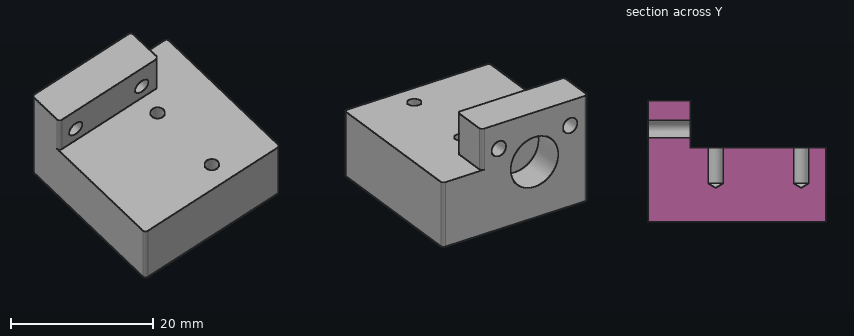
import cadquery as cq
import math

length = 25
width = 24.5
base_height = 10.4
edge_radius = 0.5

wall_thickness = 6
wall_width = 18
total_height = 17

wall_mid_y = wall_width / 2
hole_spacing = 12
wall_hole_diameter = 2.4
wall_hole_z = 13
bore_diameter = 8
bore_z = 9
bore_depth = 5

drill_diameter = 2.02
drill_depth = 5
drill_tip_angle = 118
drill_first_x = 9.5
drill_y = wall_mid_y + hole_spacing / 2


def rounded_block(size_x, size_y, height):
    """Block with its corner at the origin and rounded upright edges."""
    block = cq.Workplane("XY").box(size_x, size_y, height, centered=False)
    return block.edges("|Z").fillet(edge_radius)


def hole_along_x(diameter, y, z, depth):
    """Cylinder running +X from the outer face of the wall."""
    return cq.Workplane("YZ").center(y, z).circle(diameter / 2).extrude(depth)


base = rounded_block(length, width, base_height)
wall = rounded_block(wall_thickness, wall_width, total_height)
result = base.union(wall)

for offset in (-hole_spacing / 2, hole_spacing / 2):
    wall_hole = hole_along_x(wall_hole_diameter, wall_mid_y + offset, wall_hole_z, wall_thickness)
    result = result.cut(wall_hole)

result = result.cut(hole_along_x(bore_diameter, wall_mid_y, bore_z, bore_depth))

drill_radius = drill_diameter / 2
tip_length = drill_radius / math.tan(math.radians(drill_tip_angle / 2))
shoulder_z = base_height - drill_depth
drill = (
    cq.Workplane("XZ")
    .moveTo(0, base_height)
    .lineTo(drill_radius, base_height)
    .lineTo(drill_radius, shoulder_z)
    .lineTo(0, shoulder_z - tip_length)
    .close()
    .revolve(360, (0, 0), (0, 1))
)
for x in (drill_first_x, drill_first_x + hole_spacing):
    result = result.cut(drill.translate((x, drill_y, 0)))